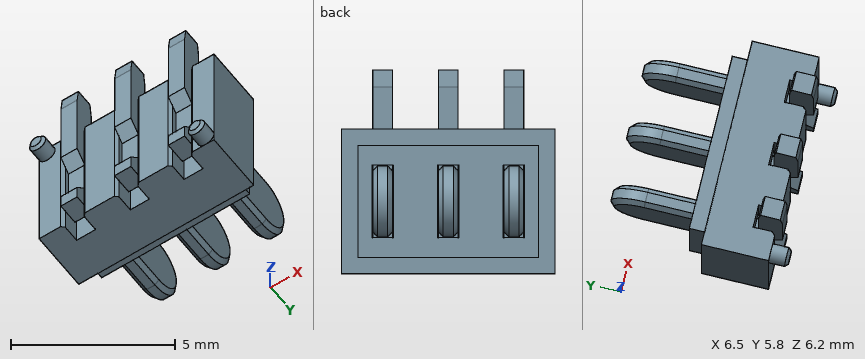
import cadquery as cq


width = 6.5
depth = 2.1
height = 4.4
flange_inset = 0.5
flange_depth = 0.5
housing_depth = depth + flange_depth

post_diameter = 0.6
post_length = 0.6
post_chamfer = 0.1

contact_count = 3
pitch = 1.995
contact_x = [(i - (contact_count - 1) / 2) * pitch for i in range(contact_count)]

slot_width = 0.7
slot_depth = 0.7
slot_chamfer = 0.105

contact_width = 0.605
blade_height = 2.16
blade_radius = blade_height / 2
blade_center_z = height / 2
blade_reach = 2.6
blade_chamfer = 0.15
blade_tip_y = housing_depth + blade_reach
hole_clearance = 0.02

leg_front_y = -0.2
leg_depth = 0.75
leg_back_y = leg_front_y + leg_depth
leg_rise = 1.8
leg_top_z = height + leg_rise
tip_taper_height = 0.52
tip_taper = 0.065
notch_depth = 0.4
web_front_y = leg_front_y + notch_depth
web_half_height = 0.6
web_top_z = blade_center_z + web_half_height
web_bottom_z = blade_center_z - web_half_height
hook_bottom_z = 0.71


def block(size_x, y_start, y_end, size_z, center_x, center_z):
    """Box centred in X and Z that spans y_start to y_end."""
    return cq.Workplane("XY").box(size_x, y_end - y_start, size_z).translate(
        (center_x, (y_start + y_end) / 2, center_z)
    )


def make_post(x, z):
    """Round post that stands forward from the housing front, chamfered at its tip."""
    post = cq.Workplane("XZ").center(x, z).circle(post_diameter / 2).extrude(post_length)
    return post.faces("<Y").chamfer(post_chamfer)


def make_slot(x):
    """Full-height slot cutter with a flared mouth at the housing front."""
    half_slot = slot_width / 2
    half_mouth = half_slot + slot_chamfer
    outline = [
        (x - half_mouth, 0),
        (x - half_slot, slot_chamfer),
        (x - half_slot, slot_depth),
        (x + half_slot, slot_depth),
        (x + half_slot, slot_chamfer),
        (x + half_mouth, 0),
    ]
    return cq.Workplane("XY").polyline(outline).close().extrude(height)


def make_blade_hole(x):
    """Rectangular passage for one blade, with a small gap all round."""
    hole_width = contact_width + 2 * hole_clearance
    hole_height = blade_height + 2 * hole_clearance
    return block(hole_width, 0, housing_depth, hole_height, x, blade_center_z)


def make_housing():
    body = block(width, 0, depth, height, 0, height / 2)
    flange = block(
        width - 2 * flange_inset, depth, housing_depth, height - 2 * flange_inset, 0, height / 2
    )
    body = body.union(flange)

    post_radius = post_diameter / 2
    post_x = width / 2 - post_radius
    body = body.union(make_post(-post_x, height - post_radius))
    body = body.union(make_post(post_x, post_radius))

    for x in contact_x:
        body = body.cut(make_slot(x))
        body = body.cut(make_blade_hole(x))
    return body


def make_blade():
    """Flat blade with a full-round tip and chamfered edges."""
    arc_start_y = blade_tip_y - blade_radius
    top_z = blade_center_z + blade_radius
    bottom_z = blade_center_z - blade_radius
    blade = (
        cq.Workplane("YZ")
        .moveTo(leg_back_y, bottom_z)
        .lineTo(arc_start_y, bottom_z)
        .threePointArc((blade_tip_y, blade_center_z), (arc_start_y, top_z))
        .lineTo(leg_back_y, top_z)
        .close()
        .extrude(contact_width / 2, both=True)
    )
    outline_edges = blade.faces("<X or >X").edges("not <Y")
    return outline_edges.chamfer(blade_chamfer)


def make_stem():
    """Upright leg with a tapered tip, a recessed web and the lower hook."""
    outline = [
        (leg_back_y, hook_bottom_z),
        (leg_back_y, leg_top_z - tip_taper_height),
        (leg_back_y - tip_taper, leg_top_z),
        (leg_front_y + tip_taper, leg_top_z),
        (leg_front_y, leg_top_z - tip_taper_height),
        (leg_front_y, web_top_z + notch_depth),
        (web_front_y, web_top_z),
        (web_front_y, web_bottom_z),
        (leg_front_y, web_bottom_z - notch_depth),
        (leg_front_y, hook_bottom_z),
    ]
    return cq.Workplane("YZ").polyline(outline).close().extrude(contact_width / 2, both=True)


def make_contact(x):
    return make_stem().union(make_blade()).translate((x, 0, 0))


housing = make_housing()
contacts = [make_contact(x) for x in contact_x]

result = cq.Compound.makeCompound([housing.val(), *[contact.val() for contact in contacts]])